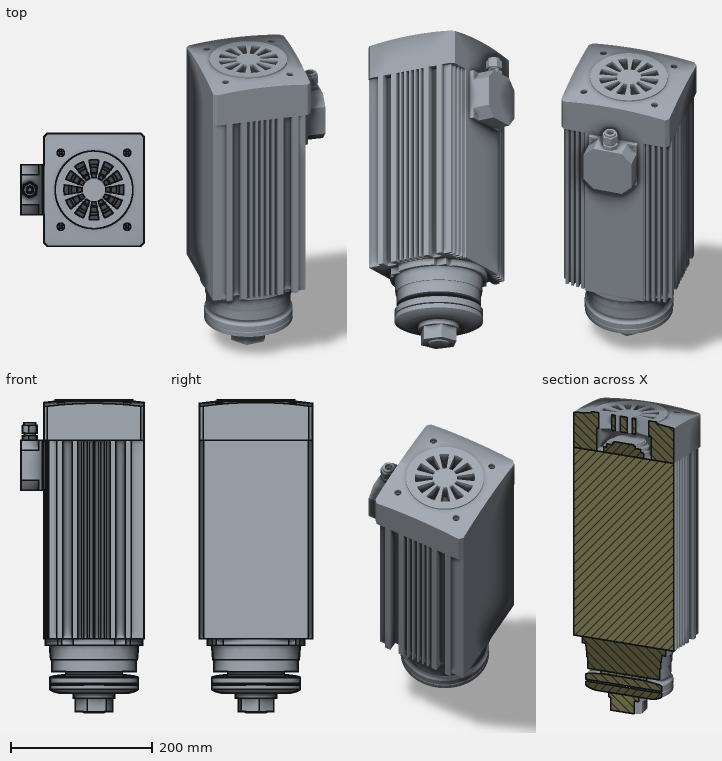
import cadquery as cq
import math


nut_bottom = 1.9
nut_top = 21.0
washer_top = 27.9
outer_flange_rim_bottom = 33.4
outer_flange_top = 39.9
inner_flange_bottom = 41.8
inner_flange_rim_top = 51.0
inner_flange_top = 54.0
shield_bottom = 58.6
shield_step = 75.6
shield_plate_bottom = 95.6
housing_bottom = 104.9
housing_top = 386.0
total_height = 443.5

half_width = 71.0
half_depth = 80.0
core_radius = 70.0
corner_x = 64.0
corner_y = 74.0
slot_floor_y = 66.0
slot_floor_x = 58.0
thin_fin_width = 2.7
thin_fin_pitch = 8.0
thin_fin_steps = (-2, -1, 0, 1, 2)
inner_rib = (22.7, 30.7)
outer_rib = (44.0, 52.4)
side_fin_width = 4.0
side_fin_pitch = 2 * side_fin_width
side_fin_count = 4
side_fin_tip_step = 1.33
pad_half_width = 43.4
pad_step = 2.6
pad_foot = 1.3

cover_chamfer = 5.0
dome_radius = 560.0
dome_apex = 443.9
grille_radius = 55.0
slot_count = 12
slot_inner_radius = 17.0
slot_outer_radius = 42.5
slot_half_angle = 9.4
slot_depth = 24.0
cavity_radius = 46.0
cavity_height = total_height - slot_depth - housing_top
cover_screw_x = 47.0
cover_screw_y = 52.3
cover_counterbore_radius = 5.0
cover_counterbore_depth = 10.0
cover_hole_radius = 2.2

bearing_cap_steps = ((36.0, 8.0), (32.0, 13.0), (24.5, 16.0), (23.0, 18.0))

total_width = 174.5
box_outer_x = half_width - total_width
box_size = 71.0
box_center_z = housing_top - box_size / 2
box_plate_x = -78.3
box_plate_inner_x = -73.2
box_gasket_inset = 1.0
box_chamfer = 14.5
box_screw_inset = 5.5
box_screw_radius = 2.2
gland_x = -90.8
gland_hex_flats = 20.0
gland_hex_turn = 24.0
gland_base_height = 6.0
gland_neck_radius = 7.8
gland_neck_height = 4.2
gland_nut_height = 11.2
gland_nut_chamfer = 1.2
gland_cap_radius = 8.6
gland_cap_height = 3.6
gland_cap_fillet = 0.8
gland_entry_radius = 5.4
gland_entry_depth = 6.0
gland_bore_radius = 3.4
gland_bore_depth = 9.0

plate_radius = 68.8
cone_top_radius = 63.1
cone_bottom_radius = 61.4
nose_radius = 60.0
notch_x = 29.4
notch_y = 46.0
lug_x = 45.3
lug_y = 56.3

shaft_radius = 14.9
shaft_end_chamfer = 1.2
collar_radius = 40.3
flange_radius = 62.7
flange_edge = 1.0
inner_flange_face_radius = 44.0
inner_flange_shoulder_radius = 56.6
inner_flange_shoulder = 52.4
outer_flange_face_radius = 46.8
outer_flange_bulge_radius = 56.5
outer_flange_bulge = 30.2
washer_bottom_radius = 29.3
washer_top_radius = 29.0
nut_flats = 47.0
nut_turn = 9.5


def box(x_range, y_range, z_range):
    """Axis-aligned block between pairs of coordinates."""
    (x0, x1), (y0, y1), (z0, z1) = x_range, y_range, z_range
    return cq.Workplane("XY").box(x1 - x0, y1 - y0, z1 - z0, centered=False).translate((x0, y0, z0))


def cylinder(radius, z0, z1):
    """Cylinder on the motor axis."""
    return cq.Workplane("XY").workplane(offset=z0).circle(radius).extrude(z1 - z0)


def turned(points):
    """Solid of revolution about Z from (radius, z) points that start and end on the axis."""
    return cq.Workplane("XZ").polyline(points).close().revolve(360, (0, 0, 0), (0, 1, 0))


def hexagon(flats, z0, z1, turn):
    """Hexagonal prism on the Z axis, turned about it by an angle in degrees."""
    across_corners = flats / math.cos(math.radians(30))
    prism = cq.Workplane("XY").workplane(offset=z0).polygon(6, across_corners).extrude(z1 - z0)
    return prism.rotate((0, 0, 0), (0, 0, 1), turn)


def mirrored(x_range):
    """A span and its mirror image about zero."""
    return (x_range, (-x_range[1], -x_range[0]))


def make_housing():
    z_range = (housing_bottom, housing_top)
    limits = box((-corner_x, half_width), (-half_depth, half_depth), z_range)
    body = cylinder(core_radius, *z_range).intersect(limits)

    inner_x = inner_rib[0]
    body = body.union(box((inner_x, half_width), (-slot_floor_y, slot_floor_y), z_range))
    body = body.union(box((-slot_floor_x, -inner_x), (-slot_floor_y, slot_floor_y), z_range))

    for step in thin_fin_steps:
        middle = step * thin_fin_pitch
        fin = (middle - thin_fin_width / 2, middle + thin_fin_width / 2)
        body = body.union(box(fin, (-half_depth, half_depth), z_range))
    for rib in (*mirrored(inner_rib), *mirrored(outer_rib)):
        body = body.union(box(rib, (-half_depth, half_depth), z_range))
    body = body.union(box((outer_rib[0], half_width), (-corner_y, corner_y), z_range))
    body = body.union(box((-slot_floor_x, -outer_rib[0]), (-corner_y, corner_y), z_range))

    for index in range(side_fin_count):
        fin_outer = corner_y - index * side_fin_pitch
        tip_x = -corner_x - index * side_fin_tip_step
        for fin in mirrored((fin_outer - side_fin_width, fin_outer)):
            body = body.union(box((tip_x, -slot_floor_x), fin, z_range))

    body = body.union(box((-half_width, -slot_floor_x), (-pad_half_width, pad_half_width), z_range))
    foot = pad_half_width + pad_foot
    return body.union(box((-half_width + pad_step, -slot_floor_x), (-foot, foot), z_range))


def grille_slot():
    """Wedge slot between two circles of the grille, centred on +X."""
    half_width_at_rim = slot_outer_radius * math.tan(math.radians(slot_half_angle))
    wedge = (
        cq.Workplane("XY").workplane(offset=total_height - slot_depth)
        .polyline([
            (0, 0),
            (slot_outer_radius, -half_width_at_rim),
            (slot_outer_radius, half_width_at_rim),
        ])
        .close().extrude(slot_depth)
    )
    ring = cylinder(slot_outer_radius, total_height - slot_depth, total_height)
    ring = ring.cut(cylinder(slot_inner_radius, total_height - slot_depth, total_height))
    return wedge.intersect(ring)


def make_fan_cover():
    z_range = (housing_top, dome_apex)
    hood = box((-half_width, half_width), (-half_depth, half_depth), z_range)
    hood = hood.edges("|Z").chamfer(cover_chamfer)
    dome = cq.Workplane("XY").sphere(dome_radius).translate((0, 0, dome_apex - dome_radius))
    hood = hood.intersect(dome)
    hood = hood.cut(cylinder(grille_radius, total_height, dome_apex))
    hood = hood.union(cylinder(grille_radius, total_height - slot_depth, total_height))

    hood = hood.cut(cylinder(cavity_radius, housing_top, housing_top + cavity_height))
    slot = grille_slot()
    for index in range(slot_count):
        hood = hood.cut(slot.rotate((0, 0, 0), (0, 0, 1), index * 360 / slot_count))

    counterbore_floor = total_height - cover_counterbore_depth
    for x in (-cover_screw_x, cover_screw_x):
        for y in (-cover_screw_y, cover_screw_y):
            head = cylinder(cover_counterbore_radius, counterbore_floor, dome_apex)
            hole = cylinder(cover_hole_radius, housing_top, dome_apex)
            hood = hood.cut(head.union(hole).translate((x, y, 0)))
    return hood


def make_bearing_cap():
    cap = None
    for radius, height in bearing_cap_steps:
        disc = cylinder(radius, housing_top, housing_top + height)
        cap = disc if cap is None else cap.union(disc)
    return cap


def make_terminal_box():
    half = box_size / 2
    z_range = (box_center_z - half, box_center_z + half)
    lid = box((box_outer_x, box_plate_x), (-half, half), z_range).edges("|X").chamfer(box_chamfer)
    plate = box((box_plate_x, box_plate_inner_x), (-half, half), z_range)
    screw = half - box_screw_inset
    plate = (
        plate.faces("<X").workplane(origin=(0, 0, box_center_z))
        .rect(2 * screw, 2 * screw, forConstruction=True).vertices()
        .circle(box_screw_radius).cutThruAll()
    )
    inner = half - box_gasket_inset
    inner_z = (box_center_z - inner, box_center_z + inner)
    gasket = box((box_plate_inner_x, -half_width), (-inner, inner), inner_z)
    return gasket.union(plate).union(lid)


def make_cable_gland():
    base_top = housing_top + gland_base_height
    nut_start = base_top + gland_neck_height
    nut_end = nut_start + gland_nut_height
    top = nut_end + gland_cap_height
    cap = cylinder(gland_cap_radius, nut_end, top).faces(">Z").edges().fillet(gland_cap_fillet)
    gland = hexagon(gland_hex_flats, housing_top, base_top, gland_hex_turn)
    gland = gland.union(cylinder(gland_neck_radius, base_top, nut_start))
    rounding = cylinder(gland_hex_flats / math.sqrt(3), nut_start, nut_end)
    rounding = rounding.faces(">Z").edges().chamfer(gland_nut_chamfer)
    gland = gland.union(hexagon(gland_hex_flats, nut_start, nut_end, gland_hex_turn).intersect(rounding))
    gland = gland.union(cap)
    gland = gland.cut(cylinder(gland_entry_radius, top - gland_entry_depth, top))
    gland = gland.cut(cylinder(gland_bore_radius, top - gland_bore_depth, top))
    return gland.translate((gland_x, 0, 0))


def plate_corner(x_side, y_side, x_reach, y_reach):
    """Block from the inner corner of a notch out to the given distances, over the plate thickness."""
    x_range = sorted((x_side * notch_x, x_side * x_reach))
    y_range = sorted((y_side * notch_y, y_side * y_reach))
    return box(x_range, y_range, (shield_plate_bottom, housing_bottom))


def make_front_shield():
    plate = cylinder(plate_radius, shield_plate_bottom, housing_bottom)
    for x_side in (-1, 1):
        for y_side in (-1, 1):
            plate = plate.cut(plate_corner(x_side, y_side, plate_radius, plate_radius))
            plate = plate.union(plate_corner(x_side, y_side, lug_x, lug_y))
    nose = turned([
        (0, shield_bottom),
        (nose_radius, shield_bottom),
        (nose_radius, shield_step),
        (cone_bottom_radius, shield_step),
        (cone_top_radius, shield_plate_bottom),
        (0, shield_plate_bottom),
    ])
    return plate.union(nose).cut(cylinder(shaft_radius, shield_bottom, housing_bottom))


def make_spindle():
    shaft = cylinder(shaft_radius, 0, housing_bottom).faces("<Z").edges().chamfer(shaft_end_chamfer)
    return shaft.union(cylinder(collar_radius, inner_flange_top, shield_bottom))


def shaft_bore(part):
    """The part with a hole for the shaft."""
    return part.cut(cylinder(shaft_radius, 0, housing_bottom))


def make_inner_flange():
    return shaft_bore(turned([
        (0, inner_flange_bottom),
        (flange_radius, inner_flange_bottom),
        (flange_radius, inner_flange_rim_top - flange_edge),
        (flange_radius - flange_edge, inner_flange_rim_top),
        (inner_flange_shoulder_radius, inner_flange_shoulder),
        (inner_flange_face_radius, inner_flange_top),
        (0, inner_flange_top),
    ]))


def make_outer_flange():
    profile = (
        cq.Workplane("XZ")
        .moveTo(0, washer_top)
        .lineTo(outer_flange_face_radius, washer_top)
        .threePointArc(
            (outer_flange_bulge_radius, outer_flange_bulge),
            (flange_radius, outer_flange_rim_bottom),
        )
        .lineTo(flange_radius, outer_flange_top)
        .lineTo(0, outer_flange_top)
        .close()
    )
    return shaft_bore(profile.revolve(360, (0, 0, 0), (0, 1, 0)))


def make_nut():
    collar = turned([
        (0, nut_top),
        (washer_bottom_radius, nut_top),
        (washer_top_radius, washer_top),
        (0, washer_top),
    ])
    return shaft_bore(hexagon(nut_flats, nut_bottom, nut_top, nut_turn).union(collar))


housing = make_housing()
fan_cover = make_fan_cover()
bearing_cap = make_bearing_cap()
terminal_box = make_terminal_box()
cable_gland = make_cable_gland()
front_shield = make_front_shield()
spindle = make_spindle()
inner_flange = make_inner_flange()
outer_flange = make_outer_flange()
nut = make_nut()

result = cq.Compound.makeCompound([
    housing.val(),
    fan_cover.val(),
    bearing_cap.val(),
    terminal_box.val(),
    cable_gland.val(),
    front_shield.val(),
    spindle.val(),
    inner_flange.val(),
    outer_flange.val(),
    nut.val(),
])